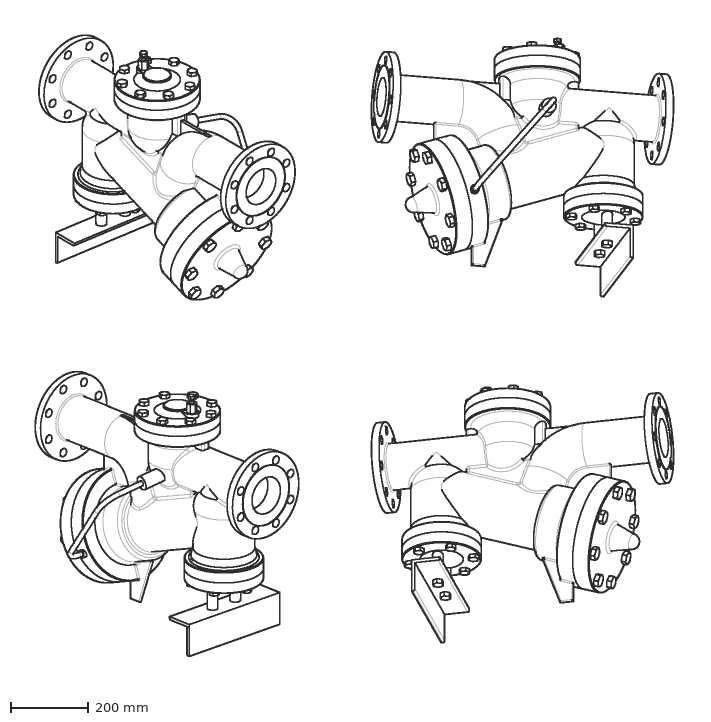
import cadquery as cq
import math


overall_length = 750.0
pipe_radius = 60.5
end_flange_diameter = 235.0
end_flange_thickness = 22.5
raised_face_diameter = 164.0
raised_face_height = 2.0
end_bolt_circle = 190.0
end_bolt_hole = 22.0
end_bolt_count = 8
bore_diameter = 100.0
bore_depth = 47.0
pipe_root_fillet = 4.0
chamber_fillet = 8.0
shoulder_fillet = 8.0

elbow_start_x = 172.0
elbow_bend_radius = 115.0
separator_tilt = 20.0
elbow_tail = 110.0
elbow_fillet = 12.0

head_across_flats = 24.0
head_height = 10.0
head_chamfer = 1.5
nut_height = 12.0

valve_x = -39.5
chamber_radius = 76.0
chamber_sphere_z = 2.0
chamber_flare = 20.0
top_flange_radius = 111.0
top_flange_bottom_z = 79.0
top_joint_z = 110.0
top_cover_z = 138.0
top_bolt_circle = 190.0
top_bolt_count = 8

strainer_x = -215.0
strainer_radius = 80.0
strainer_dome_start_z = -83.0
strainer_dome_arc = 65.0
strainer_flare_start_z = -193.0
strainer_flare_end_z = -214.0
strainer_flare_end_radius = 85.0
strainer_flare_arc = 46.0
foot_root = 6.0
bottom_flange_radius = 102.5
bottom_flange_top_z = -220.0
bottom_joint_z = -250.0
bottom_cover_z = -280.0
bottom_bolt_circle = 170.0
bottom_bolt_count = 6
cap_radius = 56.0
cap_height = 15.0

post_diameter = 28.0
post_spacing = 80.0
angle_top_z = -351.0
angle_bottom_z = -440.0
angle_left_x = -255.5
angle_leg = 75.0
angle_thickness = 9.0
angle_length = 320.0
angle_toe_radius = 5.0

separator_origin_z = -103.0
barrel_radius = 78.0
step_start = 302.0
step_radius = 100.0
step_round = 8.0
step_root = 6.0
neck_start = 368.0
neck_end_radius = 107.0
side_flange_radius = 148.0
side_flange_start = 391.0
side_joint = 437.0
side_cover_end = 483.0
side_bolt_circle = 250.0
side_bolt_count = 8
side_head_across_flats = 30.0
side_head_height = 12.5
nose_base_radius = 37.0
nose_tip_radius = 20.75
nose_tip_end = 558.0
nose_root_fillet = 8.0
flange_chamfer = 2.0

inlet_lug_x = -148.0
inlet_lug_z = 50.0
elbow_lug_x = 61.0
lug_width = 24.0
lug_round = 6.0
lug_overlap = 5.0

wall_half_width = 41.0
wall_shoulder_z = -40.0
wall_top_z = 15.0
wall_left_bottom_z = -130.0
wall_bottom_z = -205.0
wall_fillet = 10.0

web_thickness = 9.0
web_fillet = 4.0
web_left_x = -141.0
web_right_x = 236.0
web_right_z = -115.0
foot_left_x = 100.0
foot_right_x = 136.0
foot_right_top_z = -255.0
foot_root_x = 40.0
foot_root_z = -273.0
foot_bend_z = -300.0
outlet_web_left_x = 115.0
outlet_web_low_z = -200.0

tube_diameter = 13.84
tube_bend_radius = 50.0
tube_root = (-44.5, 75.0, -23.0)
tube_upper_corner = (-26.5, 250.7, -51.0)
tube_lower_corner = (163.0, 203.0, -282.5)
tube_tip_y = 125.0
tube_boss_inner = 40.0
tube_boss_length = 92.0
tube_collar_length = 26.0
tube_boss_diameter = 37.0
tube_collar_diameter = 21.0

crown_base_diameter = 120.0
crown_top_diameter = 74.0
crown_top_z = 149.0
crown_disc_diameter = 70.0
crown_disc_z = 153.0
screw_x = valve_x - 54.0
screw_pad_diameter = 36.0
screw_body_flats = 24.0
screw_body_top_z = 174.0
screw_collar_diameter = 13.0
screw_collar_top_z = 180.0
screw_stem_diameter = 7.6
screw_head_flats = 17.0
screw_head_bottom_z = 187.0
screw_top_z = 195.0

tilt = math.radians(separator_tilt)
separator_place = cq.Location(
    cq.Plane(
        origin=(strainer_x, 0, separator_origin_z),
        xDir=(math.sin(tilt), 0, math.cos(tilt)),
        normal=(math.cos(tilt), 0, -math.sin(tilt)),
    )
)


def cylinder_z(x, y, z_low, z_high, diameter):
    """Upright cylinder between two heights."""
    return cq.Workplane("XY", origin=(x, y, z_low)).circle(diameter / 2).extrude(z_high - z_low)


def hexagon(x, y, z_low, z_high, across_flats):
    """Upright hexagonal prism with two corners along X."""
    across_corners = across_flats / math.cos(math.pi / 6)
    return cq.Workplane("XY", origin=(x, y, z_low)).polygon(6, across_corners).extrude(z_high - z_low)


def turned(profile):
    """Revolve a half profile drawn in XZ about the Z axis."""
    return profile.close().revolve(360, (0, 0, 0), (0, 1, 0))


def bolt_heads(count, bolt_circle, start_angle, across_flats=head_across_flats, height=head_height):
    """Ring of hexagon heads standing on Z = 0, their top corners turned to a cone."""
    across_corners = across_flats / math.cos(math.pi / 6)
    envelope = cylinder_z(0, 0, 0, height, across_corners).faces(">Z").chamfer(head_chamfer)
    head = hexagon(0, 0, 0, height, across_flats).intersect(envelope)
    head = head.translate((bolt_circle / 2, 0, 0))
    axis_end = (0, 0, 1)
    heads = [head.rotate((0, 0, 0), axis_end, start_angle + i * 360 / count) for i in range(count)]
    return heads


def union_all(base, parts):
    for part in parts:
        base = base.union(part)
    return base




def main_pipe_half(side):
    """End flange and straight pipe of one side; side is -1 for the inlet, +1 for the outlet."""
    inner_x = elbow_start_x if side > 0 else -valve_x
    face_x = overall_length / 2
    flange_front = face_x - raised_face_height
    flange_back = face_x - end_flange_thickness
    half = turned(
        cq.Workplane("XZ")
        .moveTo(0, inner_x)
        .lineTo(pipe_radius, inner_x)
        .lineTo(pipe_radius, flange_back - pipe_root_fillet)
        .radiusArc((pipe_radius + pipe_root_fillet, flange_back), pipe_root_fillet)
        .lineTo(end_flange_diameter / 2, flange_back)
        .lineTo(end_flange_diameter / 2, flange_front)
        .lineTo(raised_face_diameter / 2, flange_front)
        .lineTo(raised_face_diameter / 2, face_x)
        .lineTo(0, face_x)
    )
    holes = (
        cq.Workplane("XY", origin=(0, 0, flange_back - pipe_root_fillet))
        .polarArray(end_bolt_circle / 2, 180 / end_bolt_count, 360, end_bolt_count)
        .circle(end_bolt_hole / 2)
        .extrude(end_flange_thickness + pipe_root_fillet)
    )
    return half.cut(holes).rotate((0, 0, 0), (0, 1, 0), 90 * side)


def bore(side):
    start = side * overall_length / 2
    return cq.Workplane("YZ", origin=(start, 0, 0)).circle(bore_diameter / 2).extrude(-side * bore_depth)


def elbow():
    """Bend from the outlet pipe to the separator, then a straight tail into the barrel."""
    sweep_angle = 90 - separator_tilt
    bend = (
        cq.Workplane("YZ", origin=(elbow_start_x, 0, 0))
        .circle(pipe_radius)
        .revolve(sweep_angle, (0, -elbow_bend_radius, 0), (-1, -elbow_bend_radius, 0))
    )
    end = cq.Plane(
        origin=(
            elbow_start_x - elbow_bend_radius * math.cos(tilt),
            0,
            -elbow_bend_radius * (1 - math.sin(tilt)),
        ),
        xDir=(0, 1, 0),
        normal=(-math.sin(tilt), 0, -math.cos(tilt)),
    )
    return bend.union(cq.Workplane(end).circle(pipe_radius).extrude(elbow_tail))


def valve_chamber():
    """Round-bottomed chamber flaring into the flange that carries the top cover."""
    flare_start_z = top_flange_bottom_z - chamber_flare
    half_chord = chamber_radius * math.sqrt(0.5)
    chamber = turned(
        cq.Workplane("XZ")
        .moveTo(0, chamber_sphere_z - chamber_radius)
        .threePointArc(
            (half_chord, chamber_sphere_z - half_chord), (chamber_radius, chamber_sphere_z)
        )
        .lineTo(chamber_radius, flare_start_z)
        .radiusArc((chamber_radius + chamber_flare, top_flange_bottom_z), chamber_flare)
        .lineTo(top_flange_radius - flange_chamfer, top_flange_bottom_z)
        .lineTo(top_flange_radius, top_flange_bottom_z + flange_chamfer)
        .lineTo(top_flange_radius, top_joint_z)
        .lineTo(0, top_joint_z)
    )
    return chamber.translate((valve_x, 0, 0))


def flange_lugs():
    """Upright lugs under the top flange: a short one on the inlet pipe, a tall one on the wall."""
    lugs = []
    for end_x, bottom_z in ((inlet_lug_x, inlet_lug_z), (elbow_lug_x, wall_top_z - lug_overlap)):
        lug = cq.Workplane("XY", origin=((valve_x + end_x) / 2, 0, bottom_z))
        lug = lug.rect(abs(end_x - valve_x), lug_width).extrude(top_flange_bottom_z + lug_overlap - bottom_z)
        outer_end = "<X" if end_x < valve_x else ">X"
        lugs.append(lug.faces(outer_end).edges("|Z").fillet(lug_round))
    return lugs


def wall():
    """Thick wall between inlet pipe, valve chamber, elbow and barrel, topped by a ramped ridge."""
    elbow_x = elbow_start_x - elbow_bend_radius
    outline = [
        (web_left_x, 0),
        (valve_x, 0),
        (valve_x, wall_shoulder_z),
        (elbow_x, wall_shoulder_z),
        (elbow_x, wall_bottom_z),
        (web_left_x, wall_left_bottom_z),
    ]
    plate = cq.Workplane("XZ").polyline(outline).close().extrude(wall_half_width, both=True)
    section = [
        (-wall_half_width, wall_shoulder_z),
        (-lug_width / 2, wall_top_z),
        (lug_width / 2, wall_top_z),
        (wall_half_width, wall_shoulder_z),
    ]
    ridge = cq.Workplane("YZ", origin=(valve_x, 0, 0)).polyline(section).close().extrude(elbow_x - valve_x)
    return plate.union(ridge)


def strainer_chamber():
    """Upright chamber under the inlet pipe with a domed shoulder and a flared foot flange."""
    shoulder_centre_r = strainer_radius - strainer_dome_arc
    shoulder_rise = math.sqrt(strainer_dome_arc**2 - (pipe_radius - shoulder_centre_r) ** 2)
    chamber = turned(
        cq.Workplane("XZ")
        .moveTo(0, 0)
        .lineTo(pipe_radius, 0)
        .lineTo(pipe_radius, strainer_dome_start_z + shoulder_rise)
        .radiusArc((strainer_radius, strainer_dome_start_z), strainer_dome_arc)
        .lineTo(strainer_radius, strainer_flare_start_z)
        .radiusArc((strainer_flare_end_radius, strainer_flare_end_z), strainer_flare_arc)
        .radiusArc((strainer_flare_end_radius + foot_root, bottom_flange_top_z), foot_root)
        .lineTo(bottom_flange_radius - flange_chamfer, bottom_flange_top_z)
        .lineTo(bottom_flange_radius, bottom_flange_top_z - flange_chamfer)
        .lineTo(bottom_flange_radius, bottom_joint_z)
        .lineTo(0, bottom_joint_z)
    )
    return chamber.translate((strainer_x, 0, 0))


def separator_barrel():
    """Tilted barrel stepping up to the flange that carries the side cover."""
    barrel = turned(
        cq.Workplane("XZ")
        .moveTo(0, 0)
        .lineTo(barrel_radius, 0)
        .lineTo(barrel_radius, step_start - step_root)
        .radiusArc((barrel_radius + step_root, step_start), step_root)
        .lineTo(step_radius - step_round, step_start)
        .radiusArc((step_radius, step_start + step_round), -step_round)
        .lineTo(step_radius, neck_start)
        .lineTo(neck_end_radius, side_flange_start)
        .lineTo(side_flange_radius - flange_chamfer, side_flange_start)
        .lineTo(side_flange_radius, side_flange_start + flange_chamfer)
        .lineTo(side_flange_radius, side_joint)
        .lineTo(0, side_joint)
    )
    return cq.Workplane(barrel.val().moved(separator_place))


def web():
    """Flat web in the pipe plane that ties the castings together and ends in a foot."""
    outline = [
        (web_left_x, 0),
        (valve_x, 0),
        (valve_x, pipe_radius),
        (elbow_start_x, pipe_radius),
        (elbow_start_x, 0),
        (web_right_x, 0),
        (web_right_x, web_right_z),
        (foot_right_x, foot_right_top_z),
        (foot_right_x, angle_bottom_z),
        (foot_left_x, angle_bottom_z),
        (foot_root_x, foot_root_z),
        (web_left_x, wall_left_bottom_z),
    ]
    return cq.Workplane("XZ").polyline(outline).close().extrude(web_thickness / 2, both=True)


def bend_points(before, corner, after, radius):
    """Start, middle and end of the arc that rounds a corner of a path in space."""
    back = (before - corner).normalized()
    ahead = (after - corner).normalized()
    half_angle = back.getAngle(ahead) / 2
    setback = radius / math.tan(half_angle)
    bisector = (back + ahead).normalized()
    centre = corner + bisector * (radius / math.sin(half_angle))
    return corner + back * setback, centre - bisector * radius, corner + ahead * setback


def balance_tube():
    """Bent tube from the back of the valve chamber to the rim of the side flange."""
    root = cq.Vector(*tube_root)
    upper = cq.Vector(*tube_upper_corner)
    lower = cq.Vector(*tube_lower_corner)
    tip = cq.Vector(lower.x, tube_tip_y, lower.z)
    upper_arc = bend_points(root, upper, lower, tube_bend_radius)
    lower_arc = bend_points(upper, lower, tip, tube_bend_radius)
    path = cq.Wire.assembleEdges(
        [
            cq.Edge.makeLine(root, upper_arc[0]),
            cq.Edge.makeThreePointArc(*upper_arc),
            cq.Edge.makeLine(upper_arc[2], lower_arc[0]),
            cq.Edge.makeThreePointArc(*lower_arc),
            cq.Edge.makeLine(lower_arc[2], tip),
        ]
    )
    start = cq.Plane(origin=root, xDir=(1, 0, 0), normal=upper - root)
    tube = cq.Workplane(start).circle(tube_diameter / 2).sweep(cq.Workplane(path))
    direction = (upper - root).normalized()
    boss_start = cq.Plane(origin=root - direction * tube_boss_inner, xDir=(1, 0, 0), normal=direction)
    boss = cq.Workplane(boss_start).circle(tube_boss_diameter / 2).extrude(tube_boss_length)
    collar = cq.Workplane("XZ", origin=tip.toTuple()).circle(tube_collar_diameter / 2)
    collar = collar.extrude(-tube_collar_length)
    return [tube, boss, collar]


def round_flat_edges(body, y, x_range, z_range, radius):
    """Round every edge of the flat face at one Y that lies inside the given X and Z ranges."""
    slack = 0.1
    face_edges = cq.selectors.BoxSelector(
        (x_range[0], y - slack, z_range[0]), (x_range[1], y + slack, z_range[1]), boundingbox=True
    )
    return body.edges(face_edges).fillet(radius)


def blended_inlet():
    """Inlet pipe blended into the valve chamber and the strainer shoulder."""
    body = main_pipe_half(-1).union(valve_chamber()).edges("%BSPLINE").fillet(chamber_fillet)
    body = body.union(strainer_chamber())
    outer_shoulder = (strainer_x - pipe_radius, 0, -pipe_radius)
    return body.edges(cq.selectors.NearestToPointSelector(outer_shoulder)).fillet(shoulder_fillet)


def blended_elbow():
    """Elbow blended into a plain barrel."""
    plain_barrel = cylinder_z(0, 0, 0, side_joint, 2 * barrel_radius).val().moved(separator_place)
    return elbow().union(cq.Workplane(plain_barrel)).edges("%BSPLINE").fillet(elbow_fillet)


def make_housing():
    body = blended_inlet().union(main_pipe_half(1)).union(blended_elbow()).union(separator_barrel())
    body = body.union(wall())
    whole_x = (-overall_length / 2, overall_length / 2)
    whole_z = (angle_bottom_z - 1, top_joint_z)
    for side in (-1, 1):
        body = round_flat_edges(body, side * wall_half_width, whole_x, whole_z, wall_fillet)
    body = body.union(web())
    foot_x = (0, foot_right_x + 1)
    foot_z = (angle_bottom_z - 1, foot_bend_z)
    outlet_web_x = (outlet_web_left_x, web_right_x + 1)
    outlet_web_z = (outlet_web_low_z, -pipe_radius / 2)
    for side in (-1, 1):
        body = round_flat_edges(body, side * web_thickness / 2, foot_x, foot_z, web_fillet)
    for side in (-1, 1):
        body = round_flat_edges(body, side * web_thickness / 2, outlet_web_x, outlet_web_z, web_fillet)
    body = union_all(body, flange_lugs() + balance_tube())
    return body.cut(bore(-1)).cut(bore(1))




def make_top_cover():
    """Bolted top cover with a conical crown and the adjusting screw."""
    cover = cylinder_z(valve_x, 0, top_joint_z, top_cover_z, 2 * top_flange_radius)
    cover = cover.faces(">Z").chamfer(flange_chamfer)
    crown = turned(
        cq.Workplane("XZ")
        .moveTo(0, top_cover_z)
        .lineTo(crown_base_diameter / 2, top_cover_z)
        .lineTo(crown_top_diameter / 2, crown_top_z)
        .lineTo(crown_disc_diameter / 2, crown_top_z)
        .lineTo(crown_disc_diameter / 2, crown_disc_z)
        .lineTo(0, crown_disc_z)
    ).translate((valve_x, 0, 0))
    pad_length = valve_x - screw_x
    pad_bar = cq.Workplane("XY", origin=((valve_x + screw_x) / 2, 0, top_cover_z))
    pad_bar = pad_bar.rect(pad_length, screw_pad_diameter).extrude(crown_top_z - top_cover_z)
    pad_end = cylinder_z(screw_x, 0, top_cover_z, crown_top_z, screw_pad_diameter)
    screw = [
        hexagon(screw_x, 0, crown_top_z, screw_body_top_z, screw_body_flats),
        cylinder_z(screw_x, 0, screw_body_top_z, screw_collar_top_z, screw_collar_diameter),
        cylinder_z(screw_x, 0, screw_collar_top_z, screw_head_bottom_z, screw_stem_diameter),
        hexagon(screw_x, 0, screw_head_bottom_z, screw_top_z, screw_head_flats),
    ]
    cover = union_all(cover, [crown, pad_bar, pad_end] + screw)
    heads = bolt_heads(top_bolt_count, top_bolt_circle, 180 / top_bolt_count)
    return union_all(cover, [head.translate((valve_x, 0, top_cover_z)) for head in heads])


def angle_iron():
    """Angle iron lying along Y with rounded leg toes."""
    right_x = angle_left_x + angle_leg
    inner_x = angle_left_x + angle_thickness
    inner_z = angle_top_z - angle_thickness
    outline = [
        (angle_left_x, angle_top_z),
        (right_x, angle_top_z),
        (right_x, inner_z),
        (inner_x, inner_z),
        (inner_x, angle_bottom_z),
        (angle_left_x, angle_bottom_z),
    ]
    bar = cq.Workplane("XZ").polyline(outline).close().extrude(angle_length / 2, both=True)
    toes = cq.selectors.NearestToPointSelector
    bar = bar.edges(toes((right_x, 0, inner_z))).fillet(angle_toe_radius)
    return bar.edges(toes((inner_x, 0, angle_bottom_z))).fillet(angle_toe_radius)


def make_bottom_cover():
    """Bolted bottom cover with a shallow cap, two posts and the angle-iron foot."""
    cover = cylinder_z(strainer_x, 0, bottom_cover_z, bottom_joint_z, 2 * bottom_flange_radius)
    cover = cover.faces("<Z").chamfer(flange_chamfer)
    cap_sphere = (cap_radius**2 + cap_height**2) / (2 * cap_height)
    cap = turned(
        cq.Workplane("XZ")
        .moveTo(0, bottom_cover_z)
        .lineTo(cap_radius, bottom_cover_z)
        .radiusArc((0, bottom_cover_z - cap_height), cap_sphere)
    ).translate((strainer_x, 0, 0))
    cover = cover.union(cap).union(angle_iron())
    bolt_top = angle_top_z - angle_thickness
    for y in (-post_spacing / 2, post_spacing / 2):
        cover = cover.union(cylinder_z(strainer_x, y, angle_top_z, bottom_cover_z, post_diameter))
        nut = hexagon(0, 0, bolt_top - nut_height, bolt_top, head_across_flats).rotate((0, 0, 0), (0, 0, 1), 30)
        cover = cover.union(nut.translate((strainer_x, y, 0)))
    heads = bolt_heads(bottom_bolt_count, bottom_bolt_circle, 0)
    heads = [head.mirror("XY").translate((strainer_x, 0, bottom_cover_z)) for head in heads]
    return union_all(cover, heads)


def make_side_cover():
    """Bolted separator cover with a tapered, ball-ended nose."""
    cover = cylinder_z(0, 0, side_joint, side_cover_end, 2 * side_flange_radius)
    cover = cover.faces(">Z").chamfer(flange_chamfer)
    ball_z = nose_tip_end - nose_tip_radius
    nose = turned(
        cq.Workplane("XZ")
        .moveTo(0, side_cover_end)
        .lineTo(nose_base_radius, side_cover_end)
        .lineTo(nose_tip_radius, ball_z)
        .radiusArc((0, nose_tip_end), -nose_tip_radius)
    )
    cover = cover.union(nose)
    nose_seam = cq.selectors.BoxSelector(
        (-nose_base_radius - 1, -nose_base_radius - 1, side_cover_end - 1),
        (nose_base_radius + 1, nose_base_radius + 1, side_cover_end + 1),
        boundingbox=True,
    )
    cover = cover.edges(nose_seam).fillet(nose_root_fillet)
    heads = bolt_heads(side_bolt_count, side_bolt_circle, 0, side_head_across_flats, side_head_height)
    cover = union_all(cover, [head.translate((0, 0, side_cover_end)) for head in heads])
    return cq.Workplane(cover.val().moved(separator_place))


housing = make_housing()
top_cover = make_top_cover()
bottom_cover = make_bottom_cover()
side_cover = make_side_cover()

result = cq.Compound.makeCompound(
    [*housing.vals(), *top_cover.vals(), *bottom_cover.vals(), *side_cover.vals()]
)